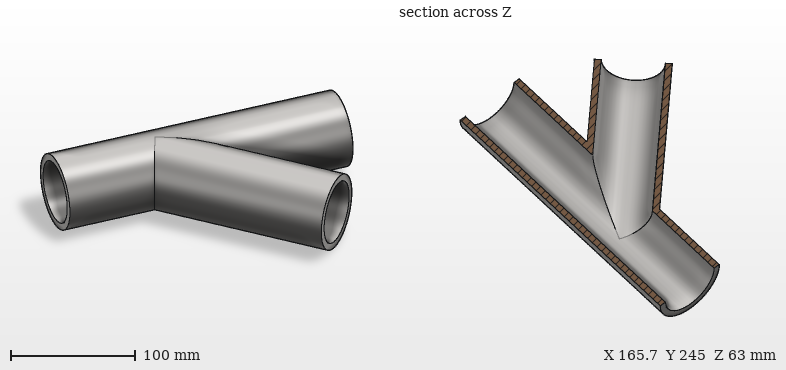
import cadquery as cq
import math

outer_diameter = 63.0
bore_diameter = 51.5
run_length = 245.0
junction_offset = 86.2
branch_length = 158.3
branch_angle = 45.0


def run_cylinder(diameter):
    """Full-length cylinder along Y, with the axes crossing at the origin."""
    start = cq.Vector(0, -junction_offset, 0)
    return cq.Workplane(cq.Solid.makeCylinder(diameter / 2, run_length, start, cq.Vector(0, 1, 0)))


def branch_cylinder(diameter):
    """Cylinder from the crossing of the axes toward +X and +Y."""
    angle = math.radians(branch_angle)
    direction = cq.Vector(math.sin(angle), math.cos(angle), 0)
    return cq.Workplane(cq.Solid.makeCylinder(diameter / 2, branch_length, cq.Vector(0, 0, 0), direction))


def fitting_volume(diameter):
    """Run and branch of one diameter, joined."""
    return run_cylinder(diameter).union(branch_cylinder(diameter))


result = fitting_volume(outer_diameter).cut(fitting_volume(bore_diameter))